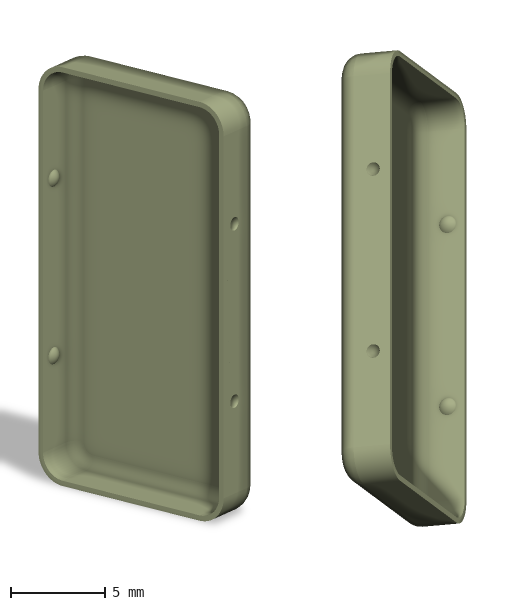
import cadquery as cq
WIDTH = 12.3
DEPTH = 3.0
HEIGHT = 23.6
WALL = 0.3

CORNER_RADIUS = 1.6
FLOOR_EDGE_RADIUS = 0.95

DIMPLE_SPACING = 10.0
DIMPLE_FROM_RIM = 0.95
DIMPLE_CENTER_OUTSIDE = 0.1
DIMPLE_RADIUS = 0.385
BUMP_RADIUS = 0.62

RIM_Y = -DEPTH / 2


def rounded_block(inset):
    """Block inset from the outer shape on all sides but the rim, with its +Y edge rounded."""
    return (
        cq.Workplane("XZ", origin=(0, RIM_Y, 0))
        .rect(WIDTH - 2 * inset, HEIGHT - 2 * inset)
        .extrude(-(DEPTH - inset))
        .edges("|Y")
        .fillet(CORNER_RADIUS - inset)
        .faces(">Y")
        .edges()
        .fillet(FLOOR_EDGE_RADIUS - inset)
    )


def cut_dimple_spheres(body, radius):
    """Cut a sphere of the given radius out of the body at each of the four dimples."""
    center_x = WIDTH / 2 + DIMPLE_CENTER_OUTSIDE
    for side in (-1, 1):
        for end in (-1, 1):
            center = (side * center_x, RIM_Y + DIMPLE_FROM_RIM, end * DIMPLE_SPACING / 2)
            body = body.cut(cq.Workplane("YZ").sphere(radius).translate(center))
    return body


cavity = cut_dimple_spheres(rounded_block(WALL), BUMP_RADIUS)
tray = rounded_block(0).cut(cavity)

result = cut_dimple_spheres(tray, DIMPLE_RADIUS)